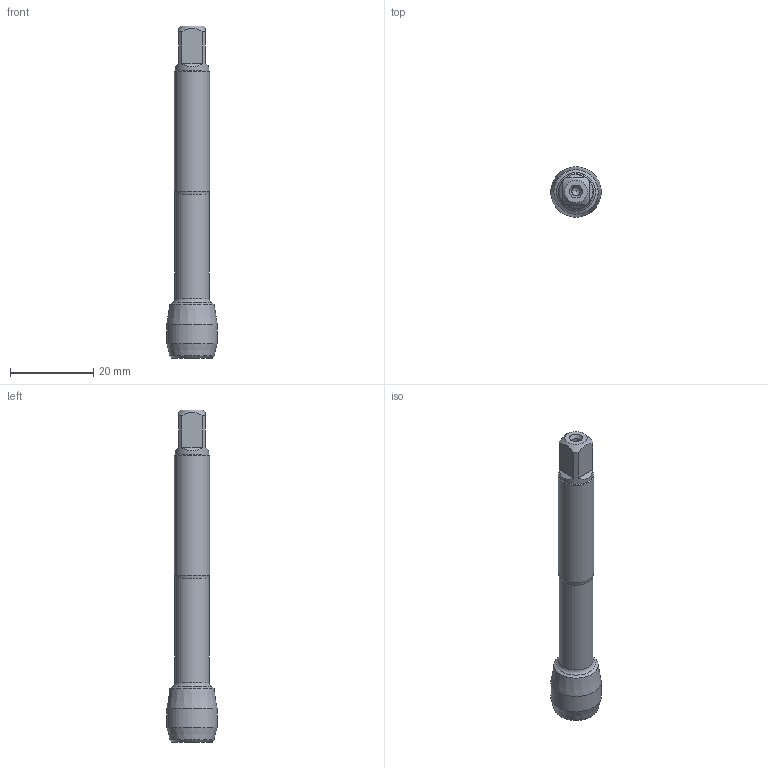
import cadquery as cq
import math

TOTAL_LENGTH = 80.0

NOSE_DIAMETER = 12.15
NOSE_LENGTH = 12.9
NOSE_TOP_DIAMETER = 10.7
NOSE_BOTTOM_DIAMETER = 10.7
NOSE_CHAMFER = 0.5
BAND_BOTTOM = 3.5
BAND_TOP = 8.0

NECK_DIAMETER = 8.2
FOOT_FILLET = 1.3
FOOT_CONE_ANGLE = 33.0
SHANK_DIAMETER = 8.5
SHANK_BOTTOM = 40.2
SHANK_TOP = 69.0
NECK_TAPER_LENGTH = 0.8
DRIVE_DIAMETER = 8.16
DRIVE_SQUARE = 6.5
DRIVE_FLAT_BOTTOM = 71.0
TIP_DIAMETER = 5.4

CENTRE_DIAMETER = 2.0
CENTRE_MOUTH_DIAMETER = 3.1
CENTRE_DEPTH = 2.5
COUNTERSINK_ANGLE = 60.0
DRILL_POINT_ANGLE = 120.0

nose_radius = NOSE_DIAMETER / 2
nose_top_radius = NOSE_TOP_DIAMETER / 2
nose_bottom_radius = NOSE_BOTTOM_DIAMETER / 2
neck_radius = NECK_DIAMETER / 2
shank_radius = SHANK_DIAMETER / 2
drive_radius = DRIVE_DIAMETER / 2


def revolve_profile(profile):
    """Revolve a closed (radius, z) outline once around the Z axis."""
    return profile.close().revolve(360, (0, 0, 0), (0, 1, 0))


def make_nose():
    """Head with a straight band, a taper at each end and a chamfered lower edge."""
    profile = (
        cq.Workplane("XZ")
        .lineTo(nose_bottom_radius - NOSE_CHAMFER, 0)
        .lineTo(nose_bottom_radius, NOSE_CHAMFER)
        .lineTo(nose_radius, BAND_BOTTOM)
        .lineTo(nose_radius, BAND_TOP)
        .lineTo(nose_top_radius, NOSE_LENGTH)
        .lineTo(0, NOSE_LENGTH)
    )
    return revolve_profile(profile)


def make_shaft_blank():
    """Turned shaft: flared foot, neck, shank and the round drive end."""
    arc_angle = math.radians(90 - FOOT_CONE_ANGLE)
    cone_top_radius = neck_radius + FOOT_FILLET * (1 - math.cos(arc_angle))
    cone_top = NOSE_LENGTH + (nose_top_radius - cone_top_radius) / math.tan(arc_angle)
    fillet_top = cone_top + FOOT_FILLET * math.sin(arc_angle)
    fillet_middle = (
        neck_radius + FOOT_FILLET * (1 - math.cos(arc_angle / 2)),
        fillet_top - FOOT_FILLET * math.sin(arc_angle / 2),
    )
    shank_chamfer = shank_radius - drive_radius
    tip_radius = TIP_DIAMETER / 2
    tip_chamfer = drive_radius - tip_radius
    profile = (
        cq.Workplane("XZ")
        .moveTo(0, NOSE_LENGTH)
        .lineTo(nose_top_radius, NOSE_LENGTH)
        .lineTo(cone_top_radius, cone_top)
        .threePointArc(fillet_middle, (neck_radius, fillet_top))
        .lineTo(neck_radius, SHANK_BOTTOM - NECK_TAPER_LENGTH)
        .lineTo(shank_radius, SHANK_BOTTOM)
        .lineTo(shank_radius, SHANK_TOP)
        .lineTo(drive_radius, SHANK_TOP + shank_chamfer)
        .lineTo(drive_radius, TOTAL_LENGTH - tip_chamfer)
        .lineTo(tip_radius, TOTAL_LENGTH)
        .lineTo(0, TOTAL_LENGTH)
    )
    return revolve_profile(profile)


def make_flat_cutter():
    """Cutter for the +X drive flat, with a 45 degree run-out at its lower end."""
    flat_x = DRIVE_SQUARE / 2
    outer_x = shank_radius
    return (
        cq.Workplane("XZ")
        .moveTo(flat_x, DRIVE_FLAT_BOTTOM)
        .lineTo(outer_x, DRIVE_FLAT_BOTTOM - (outer_x - flat_x))
        .lineTo(outer_x, TOTAL_LENGTH)
        .lineTo(flat_x, TOTAL_LENGTH)
        .close()
        .extrude(shank_radius, both=True)
    )


def make_centre_hole():
    """Countersunk pilot hole with a conical bottom."""
    hole_radius = CENTRE_DIAMETER / 2
    mouth_radius = CENTRE_MOUTH_DIAMETER / 2
    countersink_depth = (mouth_radius - hole_radius) / math.tan(math.radians(COUNTERSINK_ANGLE / 2))
    point_depth = hole_radius / math.tan(math.radians(DRILL_POINT_ANGLE / 2))
    hole_bottom = TOTAL_LENGTH - CENTRE_DEPTH
    profile = (
        cq.Workplane("XZ")
        .moveTo(0, TOTAL_LENGTH)
        .lineTo(mouth_radius, TOTAL_LENGTH)
        .lineTo(hole_radius, TOTAL_LENGTH - countersink_depth)
        .lineTo(hole_radius, hole_bottom)
        .lineTo(0, hole_bottom - point_depth)
    )
    return revolve_profile(profile)


def make_shaft():
    """Shaft with its four drive flats and centre hole."""
    body = make_shaft_blank().cut(make_centre_hole())
    for angle in (0, 90, 180, 270):
        body = body.cut(make_flat_cutter().rotate((0, 0, 0), (0, 0, 1), angle))
    return body


nose = make_nose()
shaft = make_shaft()

result = cq.Compound.makeCompound([nose.val(), shaft.val()])